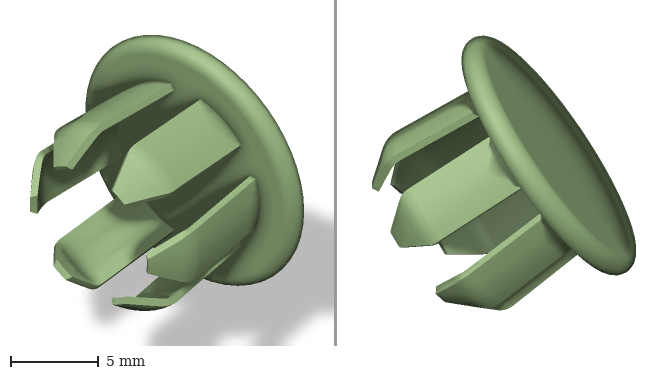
import cadquery as cq
import math

cap_diameter = 16.0
cap_thickness = 1.5
total_depth = 10.0
leg_reach = total_depth - cap_thickness
leg_root = cap_thickness / 2

leg_count = 6
leg_thickness = 0.4
leg_width = 3.52
bulge_radius = 6.0
bend_radius = 1.5
bend_depth = 5.98
lean = math.radians(4.5)
nose_slope = math.radians(37.5)

tip_width = 1.04
taper_angle = math.radians(31)
taper_corner_radius = 1.1


def make_cap():
    edge_radius = cap_thickness / 2
    flat_radius = cap_diameter / 2 - edge_radius
    return (
        cq.Workplane("XY")
        .lineTo(flat_radius, 0)
        .threePointArc((cap_diameter / 2, edge_radius), (flat_radius, cap_thickness))
        .lineTo(0, cap_thickness)
        .close()
        .revolve(360, (0, 0), (0, 1))
    )


def leg_section_face(inset):
    """Root, bend start, bend middle, bend end and tip of the leg face lying inset from its outer face."""
    radius = bend_radius - inset
    centre_x = bulge_radius - bend_radius

    def bend_point(angle):
        return (centre_x + radius * math.cos(angle), -bend_depth - radius * math.sin(angle))

    start = bend_point(-lean)
    middle = bend_point((nose_slope - lean) / 2)
    end = bend_point(nose_slope)
    root = (start[0] - (leg_root - start[1]) * math.tan(lean), leg_root)
    tip_y = -leg_reach + inset * math.sin(nose_slope)
    tip = (end[0] - (end[1] - tip_y) * math.tan(nose_slope), tip_y)
    return root, start, middle, end, tip


def make_leg_ring():
    """Continuous revolved ring with the cross-section of the legs."""
    outer_root, outer_start, outer_middle, outer_end, outer_tip = leg_section_face(0)
    inner_root, inner_start, inner_middle, inner_end, inner_tip = leg_section_face(leg_thickness)
    return (
        cq.Workplane("XY")
        .moveTo(*outer_root)
        .lineTo(*outer_start)
        .threePointArc(outer_middle, outer_end)
        .lineTo(*outer_tip)
        .lineTo(*inner_tip)
        .lineTo(*inner_end)
        .threePointArc(inner_middle, inner_start)
        .lineTo(*inner_root)
        .close()
        .revolve(360, (0, 0), (0, 1))
    )


def make_leg_blank():
    """Prism along +X whose outline is the width of one leg, narrowed toward the tip."""
    half_width = leg_width / 2
    half_tip = tip_width / 2
    taper_start = leg_reach - (half_width - half_tip) / math.tan(taper_angle)
    margin = leg_thickness / 2
    return (
        cq.Workplane("YZ")
        .moveTo(leg_root, -half_width)
        .lineTo(-taper_start, -half_width)
        .lineTo(-leg_reach, -half_tip)
        .lineTo(-leg_reach, half_tip)
        .lineTo(-taper_start, half_width)
        .lineTo(leg_root, half_width)
        .close()
        .extrude(cap_diameter / 2)
        .edges(cq.selectors.BoxSelector(
            (0, -taper_start - margin, -leg_width),
            (cap_diameter, -taper_start + margin, leg_width),
        ))
        .edges("|X")
        .fillet(taper_corner_radius)
    )


leg = make_leg_ring().intersect(make_leg_blank())
result = make_cap()
for index in range(leg_count):
    result = result.union(leg.rotate((0, 0, 0), (0, 1, 0), index * 360 / leg_count))